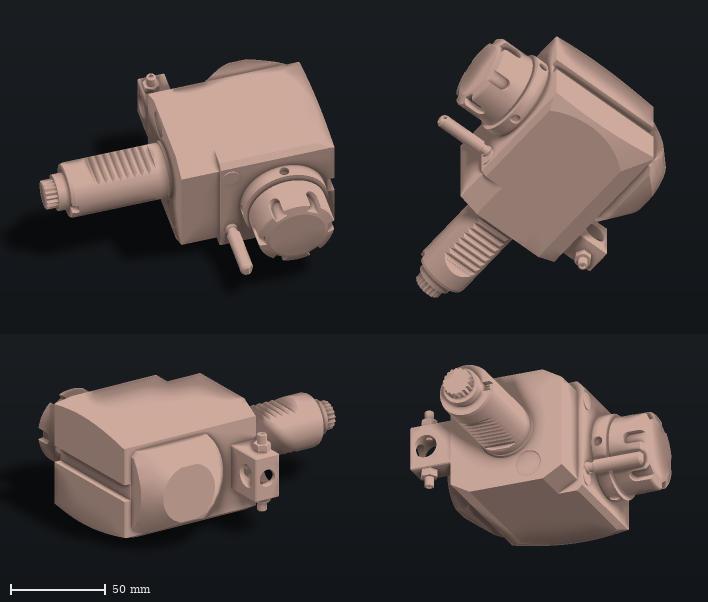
import cadquery as cq
import math


HOUSING_LENGTH = 83.8
HALF_HEIGHT = 32.0
HALF_WIDTH = 32.2
SIDE_CHAMFER_X = 11.0
SIDE_CHAMFER_Z = 6.3
SPINDLE_FACE_X = 35.0
RELIEF_LENGTH = 21.0
SPINDLE_FACE_CHAMFER = SPINDLE_FACE_X - HALF_WIDTH
BACK_EDGE_CHAMFER = 0.6
BACK_SLOT_WIDTH = 9.5
BACK_SLOT_DEPTH = 4.0
BACK_CONE_X = 9.2
BACK_CONE_Y = 35.0
BACK_CONE_TOP_RADIUS = 45.6
BACK_CONE_SLOPE = math.radians(20)
PLUG_X = 12.5
PLUG_Z = 21.7
PLUG_RADIUS = 7.7
PLUG_CHAMFER = 0.5

SPINDLE_Y = 54.7
COVER_END_X = -50.5
COVER_END_RADIUS = 16.5
COVER_RADIUS = 32.0
COVER_HALF_HEIGHT = 23.0
COVER_FLAT_END_Z = 15.7
COVER_FLAT_SLOPE = math.radians(30)
COVER_BACK_Y = 79.6

BASE_RADIUS = 22.8
COLLAR_START_X = 35.6
COLLAR_END_X = 43.2
COLLAR_RADIUS = 23.4
COLLAR_CHAMFER = 0.5
COLLAR_HOLE_RADIUS = 2.7
COLLAR_HOLE_DEPTH = 3.0
COLLAR_HOLE_COUNT = 4
NECK_RADIUS = 17.5
NUT_START_X = 44.4
NUT_RADIUS = 21.1
NUT_START_CHAMFER = 0.6
NUT_RIM_X = 62.7
NUT_SHOULDER_X = 63.5
NUT_SHOULDER_RADIUS = 20.5
NUT_END_X = 65.0
NUT_END_RADIUS = 15.4
NUT_SLOT_COUNT = 6
NUT_SLOT_WIDTH = 6.8
NUT_SLOT_START_X = 52.7
NUT_SLOT_FLOOR = 16.9

PIPE_Y = 26.5
PIPE_Z = -17.2
PIPE_RADIUS = 3.6
PIPE_FOOT_RADIUS = 3.2
PIPE_NECK_RADIUS = 2.5
PIPE_NECK_START_X = 37.0
PIPE_BARREL_X = 39.9
PIPE_BARREL_CHAMFER = 0.6
PIPE_END_X = 67.8
PIPE_TIP_RADIUS = 2.4
PIPE_TIP_CHAMFER = PIPE_RADIUS - PIPE_TIP_RADIUS
NOZZLE_CUT = 3.0
NOZZLE_RADIUS = 0.9
NOZZLE_DEPTH = 1.8
HEAD_THICKNESS = 0.6
HEAD_RADIUS = 4.7
HEAD_Z = 22.2

BLOCK_END_X = -56.0
BLOCK_Y_MIN = 0.8
BLOCK_Y_MAX = 15.9
BLOCK_HALF_HEIGHT = 12.5
BLOCK_CHAMFER = 0.6
CROSS_HOLE_X = -47.1
CROSS_HOLE_RADIUS = 6.5
SIDE_HOLE_Y = 8.5
SIDE_HOLE_RADIUS = 4.8
SIDE_HOLE_END_X = -37.0
FEED_HOLE_RADIUS = 1.5
BOLT_X = -47.0
BOLT_Y = 5.9
BOLT_RADIUS = 2.5
BOLT_END_Z = 22.0
BOLT_TIP_RADIUS = 1.8
BOLT_TIP_Z = 5.1
BOLT_CHAMFER = 0.5
SOCKET_WIDTH = 2.7
SOCKET_DEPTH = 1.5
BOLT_NUT_HEIGHT = 4.1
BOLT_NUT_WIDTH = 8.2
BOLT_NUT_CHAMFER = 0.5

FLANGE_RADIUS = 15.9
FLANGE_END_RADIUS = 15.3
FLANGE_LENGTH = 1.4
SHANK_LEAD_LENGTH = 0.8
SHANK_RADIUS = 15.0
SHANK_LENGTH = 55.1
SHANK_CHAMFER_LENGTH = 1.8
SHANK_CHAMFER_DEPTH = 0.5
JOURNAL_RADIUS = 10.0
JOURNAL_END = 61.0
SPLINE_END = 67.2
SPLINE_RADIUS = 8.0
SPLINE_ROOT_RADIUS = 7.0
SPLINE_TEETH = 18
SPLINE_CHAMFER = 0.5
KEY_SLOT_WIDTH = 5.3
KEY_SLOT_DEPTH = 3.8
KEY_POCKET_WIDTH = 3.8
KEY_POCKET_DEPTH = 4.5
KEY_POCKET_END_X = 12.8

RACK_FLAT_Z = 12.1
RACK_START = 7.5
RACK_LEAD_IN = 1.4
RACK_LEAD_DEPTH = 0.9
GROOVE_COUNT = 8
GROOVE_DEPTH = 1.7
FIRST_GROOVE = 11.6
LAST_GROOVE = 39.5
GROOVE_PITCH = (LAST_GROOVE - FIRST_GROOVE) / (GROOVE_COUNT - 1)
RUNOUT_DIP = 0.3


def cylinder_x(x_start, x_end, radius, y, z):
    """Cylinder along X between two stations."""
    return cq.Workplane("YZ", origin=(x_start, y, z)).circle(radius).extrude(x_end - x_start)


def box_between(low, high):
    """Box given by two opposite corners."""
    size = [b - a for a, b in zip(low, high)]
    return cq.Workplane("XY").box(*size, centered=False).translate(low)


def turned_x(profile, y, z):
    """Solid of revolution about an X-parallel axis, from (x, radius) points."""
    points = [(profile[0][0], 0)] + profile + [(profile[-1][0], 0)]
    turned = cq.Workplane("XY").polyline(points).close().revolve(360, (0, 0, 0), (1, 0, 0))
    return turned.translate((0, y, z))


def make_housing():
    """Chamfered block with a conical back on top and bottom, a back slot and two plugs."""
    front_points = [
        (-HALF_WIDTH, HALF_HEIGHT - SIDE_CHAMFER_Z),
        (-HALF_WIDTH + SIDE_CHAMFER_X, HALF_HEIGHT),
        (HALF_WIDTH - SIDE_CHAMFER_X, HALF_HEIGHT),
        (HALF_WIDTH, HALF_HEIGHT - SIDE_CHAMFER_Z),
    ]
    rear_points = front_points[:2] + [
        (HALF_WIDTH, HALF_HEIGHT),
        (SPINDLE_FACE_X, HALF_HEIGHT - SPINDLE_FACE_CHAMFER),
    ]

    def section(upper_points, y_start, y_end):
        outline = upper_points + [(x, -z) for x, z in reversed(upper_points)]
        plane = cq.Workplane("XZ", origin=(0, y_start, 0))
        return plane.polyline(outline).close().extrude(y_start - y_end)

    rear = section(rear_points, RELIEF_LENGTH, HOUSING_LENGTH)
    rear = rear.faces("<X").edges(">Y").chamfer(BACK_EDGE_CHAMFER)
    housing = section(front_points, 0, RELIEF_LENGTH).union(rear)

    cone_mid_radius = BACK_CONE_TOP_RADIUS + HALF_HEIGHT / math.tan(BACK_CONE_SLOPE)
    cone_outline = [
        (0, -HALF_HEIGHT),
        (BACK_CONE_TOP_RADIUS, -HALF_HEIGHT),
        (cone_mid_radius, 0),
        (BACK_CONE_TOP_RADIUS, HALF_HEIGHT),
        (0, HALF_HEIGHT),
    ]
    cone = cq.Workplane("XZ").polyline(cone_outline).close().revolve(360, (0, 0, 0), (0, 1, 0))
    front_keep = box_between(
        (-SPINDLE_FACE_X, 0, -HALF_HEIGHT), (SPINDLE_FACE_X, BACK_CONE_Y, HALF_HEIGHT)
    )
    housing = housing.intersect(cone.translate((BACK_CONE_X, BACK_CONE_Y, 0)).union(front_keep))

    slot = box_between(
        (-SPINDLE_FACE_X, HOUSING_LENGTH - BACK_SLOT_DEPTH, -BACK_SLOT_WIDTH / 2),
        (SPINDLE_FACE_X, HOUSING_LENGTH, BACK_SLOT_WIDTH / 2),
    )
    plug_places = [(-PLUG_X, PLUG_Z), (PLUG_X, -PLUG_Z)]
    housing = housing.cut(slot)
    for x, z in plug_places:
        plug = cq.Workplane("XZ", origin=(x, 0, z)).circle(PLUG_RADIUS)
        plug = plug.extrude(-PLUG_CHAMFER, taper=45)
        housing = housing.cut(plug)
    return housing


def make_cover():
    """45 degree cone with sloped flats above and below and a flat back side."""
    cone_start_x = COVER_END_X + COVER_RADIUS - COVER_END_RADIUS
    cover = turned_x(
        [
            (COVER_END_X, COVER_END_RADIUS),
            (cone_start_x, COVER_RADIUS),
            (-HALF_WIDTH, COVER_RADIUS),
        ],
        SPINDLE_Y,
        0,
    )
    flat_length = (COVER_HALF_HEIGHT - COVER_FLAT_END_Z) / math.tan(COVER_FLAT_SLOPE)
    envelope = (
        cq.Workplane("XZ", origin=(0, COVER_BACK_Y, 0))
        .moveTo(COVER_END_X, -COVER_FLAT_END_Z)
        .lineTo(COVER_END_X + flat_length, -COVER_HALF_HEIGHT)
        .lineTo(-HALF_WIDTH, -COVER_HALF_HEIGHT)
        .lineTo(-HALF_WIDTH, COVER_HALF_HEIGHT)
        .lineTo(COVER_END_X + flat_length, COVER_HALF_HEIGHT)
        .lineTo(COVER_END_X, COVER_FLAT_END_Z)
        .close()
        .extrude(COVER_BACK_Y)
    )
    return cover.intersect(envelope)


def make_spindle():
    """Collar with cone-bottomed radial holes, neck and slotted collet nut."""
    spindle = turned_x(
        [
            (SPINDLE_FACE_X, BASE_RADIUS),
            (COLLAR_START_X, BASE_RADIUS),
            (COLLAR_START_X + COLLAR_CHAMFER, COLLAR_RADIUS),
            (COLLAR_END_X, COLLAR_RADIUS),
            (COLLAR_END_X, NECK_RADIUS),
            (NUT_START_X, NECK_RADIUS),
            (NUT_START_X, NUT_RADIUS - NUT_START_CHAMFER),
            (NUT_START_X + NUT_START_CHAMFER, NUT_RADIUS),
            (NUT_RIM_X, NUT_RADIUS),
            (NUT_SHOULDER_X, NUT_SHOULDER_RADIUS),
            (NUT_END_X, NUT_END_RADIUS),
        ],
        0,
        0,
    )
    collar_mid_x = (COLLAR_START_X + COLLAR_END_X) / 2
    hole = (
        cq.Workplane("XZ")
        .moveTo(0, COLLAR_RADIUS)
        .lineTo(COLLAR_HOLE_RADIUS, COLLAR_RADIUS)
        .lineTo(COLLAR_HOLE_RADIUS, COLLAR_RADIUS - COLLAR_HOLE_DEPTH)
        .lineTo(0, COLLAR_RADIUS - COLLAR_HOLE_DEPTH - COLLAR_HOLE_RADIUS)
        .close()
        .revolve(360, (0, 0, 0), (0, 1, 0))
        .translate((collar_mid_x, 0, 0))
    )
    for index in range(COLLAR_HOLE_COUNT):
        spindle = spindle.cut(hole.rotate((0, 0, 0), (1, 0, 0), index * 360 / COLLAR_HOLE_COUNT))

    slot_round_x = NUT_SLOT_START_X + NUT_SLOT_WIDTH / 2
    slot = (
        cq.Workplane("XZ", origin=(0, -NUT_SLOT_FLOOR, 0))
        .moveTo(NUT_END_X, -NUT_SLOT_WIDTH / 2)
        .lineTo(slot_round_x, -NUT_SLOT_WIDTH / 2)
        .threePointArc((NUT_SLOT_START_X, 0), (slot_round_x, NUT_SLOT_WIDTH / 2))
        .lineTo(NUT_END_X, NUT_SLOT_WIDTH / 2)
        .close()
        .extrude(NUT_RADIUS - NUT_SLOT_FLOOR)
    )
    for index in range(NUT_SLOT_COUNT):
        spindle = spindle.cut(slot.rotate((0, 0, 0), (1, 0, 0), index * 360 / NUT_SLOT_COUNT))
    return spindle.translate((0, SPINDLE_Y, 0))


def make_coolant_pipe():
    """Necked pipe with a slanted nozzle face toward the spindle, and two flat screw heads."""
    head_end_x = SPINDLE_FACE_X + HEAD_THICKNESS
    upper_head = cylinder_x(SPINDLE_FACE_X, head_end_x, HEAD_RADIUS, PIPE_Y, HEAD_Z)
    lower_head = cylinder_x(SPINDLE_FACE_X, head_end_x, HEAD_RADIUS, PIPE_Y, -HEAD_Z)
    pipe = turned_x(
        [
            (SPINDLE_FACE_X, PIPE_FOOT_RADIUS),
            (PIPE_NECK_START_X, PIPE_FOOT_RADIUS),
            (PIPE_NECK_START_X, PIPE_NECK_RADIUS),
            (PIPE_BARREL_X, PIPE_NECK_RADIUS),
            (PIPE_BARREL_X, PIPE_RADIUS - PIPE_BARREL_CHAMFER),
            (PIPE_BARREL_X + PIPE_BARREL_CHAMFER, PIPE_RADIUS),
            (PIPE_END_X - PIPE_TIP_CHAMFER, PIPE_RADIUS),
            (PIPE_END_X, PIPE_TIP_RADIUS),
        ],
        PIPE_Y,
        PIPE_Z,
    )
    nozzle_plane = cq.Plane(
        origin=(PIPE_END_X - NOZZLE_CUT / 2, PIPE_Y + PIPE_RADIUS - NOZZLE_CUT / 2, PIPE_Z),
        xDir=(0, 0, 1),
        normal=(1, 1, 0),
    )
    trim = cq.Workplane(nozzle_plane).rect(2 * PIPE_RADIUS, 2 * PIPE_RADIUS).extrude(PIPE_RADIUS)
    nozzle = cq.Workplane(nozzle_plane).circle(NOZZLE_RADIUS).extrude(-NOZZLE_DEPTH)
    return pipe.cut(trim).cut(nozzle).union(upper_head).union(lower_head)


def make_bolt():
    """Socket set screw with its lock nut; the tip of the screw enters the cross hole."""
    bolt = (
        cq.Workplane("XY", origin=(BOLT_X, BOLT_Y, BLOCK_HALF_HEIGHT))
        .circle(BOLT_RADIUS)
        .extrude(BOLT_END_Z - BLOCK_HALF_HEIGHT)
        .faces(">Z")
        .chamfer(BOLT_CHAMFER)
    )
    tip = (
        cq.Workplane("XY", origin=(BOLT_X, BOLT_Y, BOLT_TIP_Z))
        .circle(BOLT_TIP_RADIUS)
        .extrude(BLOCK_HALF_HEIGHT - BOLT_TIP_Z)
    )
    corner_diameter = BOLT_NUT_WIDTH / math.cos(math.pi / 6)
    nut_plane = cq.Workplane("XY", origin=(BOLT_X, BOLT_Y, BLOCK_HALF_HEIGHT))
    nut_blank = nut_plane.circle(corner_diameter / 2).extrude(BOLT_NUT_HEIGHT)
    nut_blank = nut_blank.faces(">Z").chamfer(BOLT_NUT_CHAMFER)
    nut = nut_plane.polygon(6, corner_diameter).extrude(BOLT_NUT_HEIGHT).intersect(nut_blank)
    socket = (
        cq.Workplane("XY", origin=(BOLT_X, BOLT_Y, BOLT_END_Z))
        .polygon(6, SOCKET_WIDTH / math.cos(math.pi / 6))
        .extrude(-SOCKET_DEPTH)
    )
    return bolt.union(tip).union(nut).cut(socket)


def make_coolant_block():
    """Drilled block with a set screw on its top and its bottom."""
    block = box_between(
        (BLOCK_END_X, BLOCK_Y_MIN, -BLOCK_HALF_HEIGHT),
        (-HALF_WIDTH, BLOCK_Y_MAX, BLOCK_HALF_HEIGHT),
    )
    block = block.edges("|X or <X").chamfer(BLOCK_CHAMFER)
    cross_hole = (
        cq.Workplane("XZ", origin=(CROSS_HOLE_X, BLOCK_Y_MIN, 0))
        .circle(CROSS_HOLE_RADIUS)
        .extrude(BLOCK_Y_MIN - BLOCK_Y_MAX)
    )
    side_hole = cylinder_x(BLOCK_END_X, SIDE_HOLE_END_X, SIDE_HOLE_RADIUS, SIDE_HOLE_Y, 0)
    feed_hole = cylinder_x(SIDE_HOLE_END_X, -HALF_WIDTH, FEED_HOLE_RADIUS, SIDE_HOLE_Y, 0)
    bolt = make_bolt()
    block = block.cut(cross_hole).cut(side_hole).cut(feed_hole)
    return block.union(bolt).union(bolt.mirror("XY"))


def make_spline():
    """Splined shaft end with pointed teeth."""
    points = []
    half_step = math.pi / SPLINE_TEETH
    for index in range(2 * SPLINE_TEETH):
        radius = SPLINE_ROOT_RADIUS if index % 2 == 0 else SPLINE_RADIUS
        angle = index * half_step
        points.append((radius * math.cos(angle), radius * math.sin(angle)))
    plane = cq.Workplane("XZ", origin=(0, -JOURNAL_END, 0))
    length = SPLINE_END - JOURNAL_END
    blank = plane.circle(SPLINE_RADIUS).extrude(length).faces("<Y").chamfer(SPLINE_CHAMFER)
    return plane.polyline(points).close().extrude(length).intersect(blank)


def make_rack_cut():
    """Space above the toothed rack on the top of the shank."""
    half_groove = GROOVE_DEPTH
    root_z = RACK_FLAT_Z - GROOVE_DEPTH
    lead_z = SHANK_RADIUS - RACK_LEAD_DEPTH
    points = [
        (-RACK_START + RACK_LEAD_IN, SHANK_RADIUS),
        (-RACK_START, lead_z),
        (-RACK_START, RACK_FLAT_Z),
    ]
    for index in range(GROOVE_COUNT):
        root_y = -FIRST_GROOVE - index * GROOVE_PITCH
        points.append((root_y + half_groove, RACK_FLAT_Z))
        points.append((root_y, root_z))
        points.append((root_y - half_groove, RACK_FLAT_Z))
    runout_y = -LAST_GROOVE - half_groove - RUNOUT_DIP
    runout_z = RACK_FLAT_Z - RUNOUT_DIP
    points.append((runout_y, runout_z))
    points.append((runout_y - (SHANK_RADIUS - runout_z), SHANK_RADIUS))
    return cq.Workplane("YZ").polyline(points).close().extrude(SHANK_RADIUS, both=True)


def make_shank():
    """Round shank with flange, racks, key slot, journal and spline."""
    profile = [
        (0, 0),
        (FLANGE_RADIUS, 0),
        (FLANGE_END_RADIUS, -FLANGE_LENGTH),
        (SHANK_RADIUS - SHANK_CHAMFER_DEPTH, -FLANGE_LENGTH),
        (SHANK_RADIUS, -FLANGE_LENGTH - SHANK_LEAD_LENGTH),
        (SHANK_RADIUS, SHANK_CHAMFER_LENGTH - SHANK_LENGTH),
        (SHANK_RADIUS - SHANK_CHAMFER_DEPTH, -SHANK_LENGTH),
        (JOURNAL_RADIUS, -SHANK_LENGTH),
        (JOURNAL_RADIUS, -JOURNAL_END),
        (0, -JOURNAL_END),
    ]
    shank = cq.Workplane("XY").polyline(profile).close().revolve(360, (0, 0, 0), (0, 1, 0))
    rack_cut = make_rack_cut()
    key_slot = box_between(
        (JOURNAL_RADIUS, -SHANK_LENGTH, -KEY_SLOT_WIDTH / 2),
        (SHANK_RADIUS, -SHANK_LENGTH + KEY_SLOT_DEPTH, KEY_SLOT_WIDTH / 2),
    )
    key_pocket = box_between(
        (JOURNAL_RADIUS, -SHANK_LENGTH, -KEY_POCKET_WIDTH / 2),
        (KEY_POCKET_END_X, -SHANK_LENGTH + KEY_POCKET_DEPTH, KEY_POCKET_WIDTH / 2),
    )
    shank = shank.cut(rack_cut).cut(rack_cut.mirror("XY")).cut(key_slot).cut(key_pocket)
    return shank.union(make_spline())


result = make_housing()
for component in (
    make_cover(),
    make_spindle(),
    make_coolant_pipe(),
    make_coolant_block(),
    make_shank(),
):
    result = result.union(component)